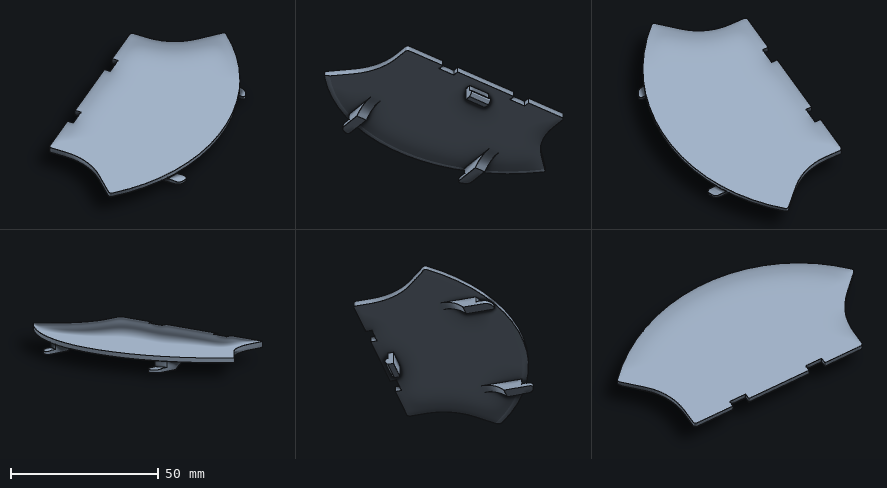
import cadquery as cq
import math

plate_length = 49.9
plate_thickness = 2.1
hinge_half_width = 33.3
rim_radius = 63.2
rim_center_x = plate_length - rim_radius

side_straight_end = 6.5
side_arc_radius = 21.7
side_angle = math.radians(45)
corner_radius = 1.1
tip_radius = 1.0

bevel_width = 2.0
bevel_height = 0.5

notch_width = 6.2
notch_depth = 2.2
notch_center_y = 15.0

hook_width = 8.0
hook_front_x = 3.8
hook_back_x = 5.8
hook_bottom_z = -6.8
nose_top_z = -4.1
nose_reach = 1.65
nose_radius = 0.94

rib_width = 4.0
rib_center_y = 25.05
rib_bottom_z = -5.5
run_in_start_x = 29.2
run_in_radius = 10.8
rib_end_radius = rim_radius - bevel_width
barb_radius = rim_radius + 2.0
barb_top_z = -4.1
barb_top_drop = 0.4
barb_outer_fillet = 2.5
barb_inner_fillet = 1.0

overlap = 0.5


def revolve_about_rim_axis(points):
    """Revolve a closed (radius, z) outline about the vertical axis of the rim."""
    return (
        cq.Workplane("XZ", origin=(rim_center_x, 0, 0))
        .polyline(points)
        .close()
        .revolve(360, (0, 0, 0), (0, 1, 0))
    )


def tip_point(line_x, line_y):
    """Point where the slanted side through (line_x, line_y) meets the rim circle."""
    dx = line_x - rim_center_x
    along = dx * math.cos(side_angle) + line_y * math.sin(side_angle)
    reach = -along + math.sqrt(along**2 - dx**2 - line_y**2 + rim_radius**2)
    return line_x + reach * math.cos(side_angle), line_y + reach * math.sin(side_angle)


def make_plate():
    arc_end_x = side_straight_end + side_arc_radius * math.sin(side_angle)
    arc_end_y = hinge_half_width + side_arc_radius * (1 - math.cos(side_angle))
    arc_mid_x = side_straight_end + side_arc_radius * math.sin(side_angle / 2)
    arc_mid_y = hinge_half_width + side_arc_radius * (1 - math.cos(side_angle / 2))
    tip_x, tip_y = tip_point(arc_end_x, arc_end_y)

    plate = (
        cq.Workplane("XY")
        .moveTo(0, -hinge_half_width)
        .lineTo(side_straight_end, -hinge_half_width)
        .threePointArc((arc_mid_x, -arc_mid_y), (arc_end_x, -arc_end_y))
        .lineTo(tip_x, -tip_y)
        .threePointArc((plate_length, 0), (tip_x, tip_y))
        .lineTo(arc_end_x, arc_end_y)
        .threePointArc((arc_mid_x, arc_mid_y), (side_straight_end, hinge_half_width))
        .lineTo(0, hinge_half_width)
        .close()
        .extrude(-plate_thickness)
    )
    plate = plate.edges("|Z and <X").fillet(corner_radius)
    plate = plate.edges("|Z and (>Y or <Y)").fillet(tip_radius)

    bevel_top_z = bevel_height - plate_thickness
    envelope = revolve_about_rim_axis(
        [
            (0, 0),
            (rim_radius, 0),
            (rim_radius, bevel_top_z),
            (rim_radius - bevel_width, -plate_thickness),
            (0, -plate_thickness),
        ]
    )
    plate = plate.intersect(envelope)

    notches = (
        cq.Workplane("XY")
        .pushPoints([(0, notch_center_y), (0, -notch_center_y)])
        .rect(2 * notch_depth, notch_width)
        .extrude(-plate_thickness)
    )
    return plate.cut(notches)


def make_hinge_hook():
    root_z = overlap - plate_thickness
    hook = (
        cq.Workplane("XZ")
        .moveTo(hook_back_x, root_z)
        .lineTo(hook_front_x, root_z)
        .lineTo(hook_front_x, nose_top_z)
        .lineTo(hook_front_x - nose_reach, hook_bottom_z + nose_reach)
        .lineTo(hook_front_x, hook_bottom_z)
        .lineTo(hook_back_x, hook_bottom_z)
        .close()
        .extrude(hook_width / 2, both=True)
    )
    return hook.edges("|Y and <X").fillet(nose_radius)


def make_snap_rib():
    """Snap rib on the +Y side."""
    root_z = overlap - plate_thickness
    run_in_drop = -plate_thickness - rib_bottom_z
    end_angle = math.acos(1 - run_in_drop / run_in_radius)

    def run_in_point(angle):
        x = run_in_start_x + run_in_radius * math.sin(angle)
        z = -plate_thickness - run_in_radius * (1 - math.cos(angle))
        return x, z

    rib = (
        cq.Workplane("XZ", origin=(0, rib_center_y, 0))
        .moveTo(run_in_start_x, root_z)
        .lineTo(run_in_start_x, -plate_thickness)
        .threePointArc(run_in_point(end_angle / 2), run_in_point(end_angle))
        .lineTo(plate_length, rib_bottom_z)
        .lineTo(plate_length, root_z)
        .close()
        .extrude(rib_width / 2, both=True)
    )
    envelope = revolve_about_rim_axis(
        [
            (0, root_z),
            (rib_end_radius, root_z),
            (rib_end_radius, barb_top_z),
            (rim_radius, barb_top_z),
            (barb_radius, barb_top_z - barb_top_drop),
            (barb_radius, rib_bottom_z),
            (0, rib_bottom_z),
        ]
    )
    rib = rib.intersect(envelope)

    def barb_corner(side):
        y = rib_center_y + side * rib_width / 2
        x = rim_center_x + math.sqrt(barb_radius**2 - y**2)
        z = (barb_top_z - barb_top_drop + rib_bottom_z) / 2
        return cq.selectors.NearestToPointSelector((x, y, z))

    rib = rib.edges(barb_corner(1)).fillet(barb_outer_fillet)
    return rib.edges(barb_corner(-1)).fillet(barb_inner_fillet)


snap_rib = make_snap_rib()
result = make_plate().union(make_hinge_hook()).union(snap_rib).union(snap_rib.mirror("XZ"))